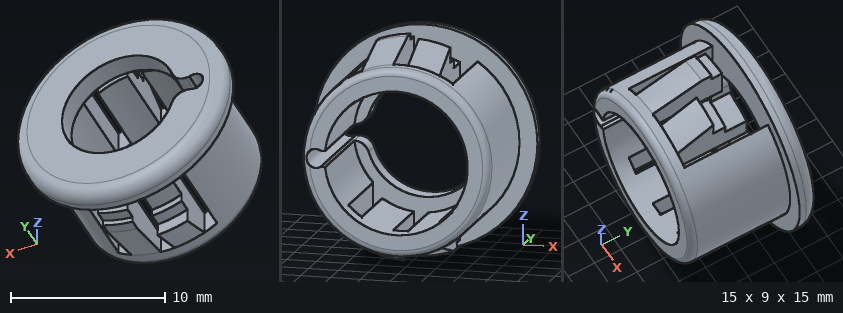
import cadquery as cq
import math

flange_radius = 7.5
flange_thickness = 1.5
flange_round = 1.0
length = 9.0
flange_face = length - flange_thickness

barrel_radius = 6.3
barrel_round = 0.5
barrel_bore_radius = 4.78
flange_bore_radius = 4.0

window_width = 6.99
finger_root = 1.2
finger_tip = 6.44
finger_gap = 0.99
finger_width = 2.12

low_land_radius = 7.32
low_land_start = 4.9
low_land_end = 5.64
low_tip_radius = 6.93

high_peak_radius = 7.44
high_peak = 3.92
high_step_radius = 6.51
high_step_end = 4.82
high_tip_radius = 5.98

slot_half_width = 0.54
slot_lip_radius = 1.0
slot_end_radius = 0.63
slot_end_x = -5.37


def rod(radius, start, end):
    """Solid cylinder on the Y axis between two Y positions."""
    return cq.Workplane("XZ", origin=(0, start, 0)).circle(radius).extrude(start - end)


def slab(x_min, x_max, y_min, y_max, z_min, z_max):
    return cq.Workplane("XY").box(
        x_max - x_min, y_max - y_min, z_max - z_min, centered=False
    ).translate((x_min, y_min, z_min))


def make_body():
    barrel = rod(barrel_radius, 0, length).faces("<Y").edges().fillet(barrel_round)
    flange = rod(flange_radius, flange_face, length).faces(">Y").edges().fillet(flange_round)
    body = barrel.union(flange)
    body = body.cut(rod(barrel_bore_radius, 0, flange_face))
    return body.cut(rod(flange_bore_radius, 0, length))


def make_windows():
    half_width = window_width / 2
    return slab(-half_width, half_width, finger_root, flange_face, -flange_radius, flange_radius)


def make_finger(outline, x_min):
    """Upper finger cut from a ring whose outer (radius, Y) outline is revolved about Y."""
    points = [(barrel_bore_radius, finger_root), (barrel_radius, finger_root)]
    points += outline + [(barrel_bore_radius, finger_tip)]
    ring = cq.Workplane("XY").polyline(points).close().revolve(360, (0, 0, 0), (0, 1, 0))
    return ring.intersect(slab(x_min, x_min + finger_width, 0, length, 0, flange_radius))


def make_finger_pair():
    low_outline = [
        (low_land_radius, low_land_start),
        (low_land_radius, low_land_end),
        (low_tip_radius, low_land_end),
        (low_tip_radius, finger_tip),
    ]
    high_outline = [
        (high_peak_radius, high_peak),
        (high_step_radius, high_peak),
        (high_step_radius, high_step_end),
        (high_tip_radius, high_step_end),
        (high_tip_radius, finger_tip),
    ]
    low_finger = make_finger(low_outline, -finger_gap / 2 - finger_width)
    return low_finger.union(make_finger(high_outline, finger_gap / 2))


def make_slot():
    """Keyhole whose mouth flares into the flange bore through two rounded lips."""
    lip_z = slot_half_width + slot_lip_radius
    center_distance = flange_bore_radius + slot_lip_radius
    lip_x = -math.sqrt(center_distance**2 - lip_z**2)
    tangent_x = lip_x * flange_bore_radius / center_distance
    tangent_z = lip_z * flange_bore_radius / center_distance

    mouth = slab(lip_x, tangent_x, 0, length, -tangent_z, tangent_z)
    for side in (-1, 1):
        mouth = mouth.cut(rod(slot_lip_radius, 0, length).translate((lip_x, 0, side * lip_z)))
    neck = slab(slot_end_x, lip_x, 0, length, -slot_half_width, slot_half_width)
    end = rod(slot_end_radius, 0, length).translate((slot_end_x, 0, 0))
    return mouth.union(neck).union(end)


result = make_body().cut(make_windows())
upper_fingers = make_finger_pair()
for angle in (0, 180):
    result = result.union(upper_fingers.rotate((0, 0, 0), (0, 1, 0), angle))
result = result.cut(make_slot())